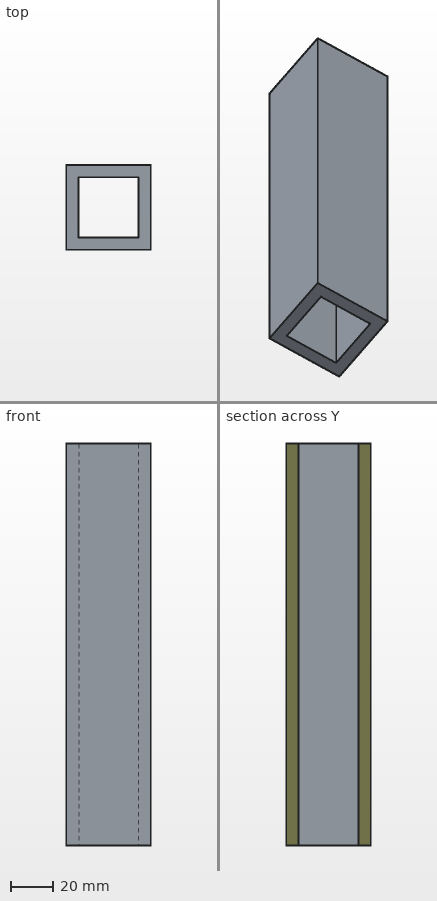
import cadquery as cq

length = 190.0
outer_side = 40.0
wall = 5.9
bore_side = outer_side - 2 * wall

result = (
    cq.Workplane("XY")
    .rect(outer_side, outer_side)
    .rect(bore_side, bore_side)
    .extrude(length)
)